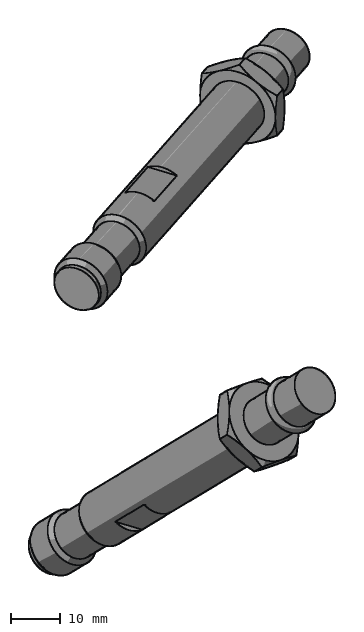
import cadquery as cq
import math

length = 93.0
shaft_diameter = 10.0
shaft_radius = shaft_diameter / 2
body_diameter = 12.0
body_radius = body_diameter / 2
edge_chamfer = body_radius - shaft_radius

head_start = 1.0
head_end = 9.0
body_start = 18.0
nut_thickness = 4.1
nut_start = 71.05
nut_width = 17.0
nut_chamfer_angle = 30.0
ring_center = 84.6
ring_width = 2.0
flat_start = 27.9
flat_length = 9.95
flat_distance = shaft_radius


def cylinder(radius, start, end):
    """Round bar along Y from start to end."""
    plane = cq.Workplane("XZ", origin=(0, start, 0))
    return plane.circle(radius).extrude(start - end)


def make_ring():
    """Raised bead with a half-round crest flush with the body diameter."""
    crest_radius = ring_width / 2
    crest_center = body_radius - crest_radius
    ring_start = ring_center - crest_radius
    ring_end = ring_center + crest_radius
    return (
        cq.Workplane("XY")
        .moveTo(0, ring_start)
        .lineTo(crest_center, ring_start)
        .threePointArc((body_radius, ring_center), (crest_center, ring_end))
        .lineTo(0, ring_end)
        .close()
        .revolve(360, (0, 0, 0), (0, 1, 0))
    )


def make_nut():
    """Hexagon with corners on Z and conical chamfers on both faces."""
    corner_radius = nut_width / math.sqrt(3)
    face_radius = nut_width / 2
    radial_chamfer = corner_radius - face_radius
    axial_chamfer = radial_chamfer * math.tan(math.radians(nut_chamfer_angle))
    nut_end = nut_start + nut_thickness
    hexagon = (
        cq.Workplane("XZ", origin=(0, nut_start, 0))
        .transformed(rotate=(0, 0, 90))
        .polygon(6, 2 * corner_radius)
        .extrude(-nut_thickness)
    )
    envelope = (
        cylinder(corner_radius, nut_start, nut_end)
        .faces("<Y or >Y")
        .chamfer(axial_chamfer, radial_chamfer)
    )
    return hexagon.intersect(envelope)


def make_flat_cutter(side):
    """Block that removes the body outside one wrench flat; side is +1 or -1."""
    depth = 2 * (body_radius - flat_distance)
    return cq.Workplane("XY").box(2 * body_radius, flat_length, depth).translate(
        (0, flat_start + flat_length / 2, side * (flat_distance + depth / 2))
    )


head = cylinder(body_radius, head_start, head_end).edges().chamfer(edge_chamfer)
body = cylinder(body_radius, body_start, nut_start).faces("<Y").chamfer(edge_chamfer)
for flat_side in (1, -1):
    body = body.cut(make_flat_cutter(flat_side))

result = cylinder(shaft_radius, 0, length)
for feature in (head, body, make_nut(), make_ring()):
    result = result.union(feature)